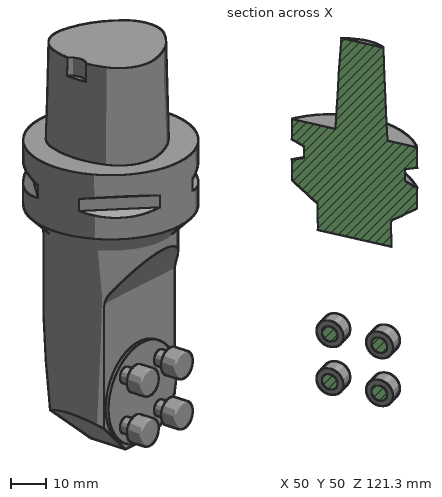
import cadquery as cq
import math


margin = 1.0

shank_length = 30.0
lobe_pitch = 360 / 3
shank_taper = 1 / 40
flat_distance = 16.45
lobe_reach = 18.6
flat_radius = 27.5

notch_width = 7.0
notch_height = 5.6
notch_radius = 4.5
notch_floor = 13.95

flange_radius = 50.0 / 2
flange_height = 20.0

groove_count = 4
groove_z = -flange_height / 2
groove_floor_distance = 22.15
groove_floor_width = 3.75
groove_side_angle = 27.0

body_radius = 38.5 / 2
body_bottom = -91.3
neck_fillet = 0.9

back_angle = 12.0
back_top = -28.8
heel_angle = 30.0
heel_bottom_x = -2.1

seat_x = 10.45
ramp_top = -28.8
ramp_angle = 35.0
ramp_fillet = 8.0

nose_half_width = 6.4
nose_angle = 45.0

plate_radius = 15.5
plate_thickness = 1.1
plate_z = -75.35
screw_shank_radius = 5.0 / 2
screw_head_radius = 8.5 / 2
screw_shank_length = 3.9
screw_head_length = 5.2
screw_head_rounding = 0.65
screw_neck_fillet = 0.25
screw_pattern_z = -75.1
screw_spacing = 15.6


def tan_degrees(angle):
    return math.tan(math.radians(angle))


def polar(radius, angle):
    return (radius * math.cos(math.radians(angle)), radius * math.sin(math.radians(angle)))


def make_shank():
    """Tapered shank whose outline is six tangent arcs: three broad sides and three lobes."""
    flat_centre = flat_radius - flat_distance
    reach_gap = flat_radius - lobe_reach
    lobe_centre = (reach_gap**2 - flat_centre**2) / (flat_centre - 2 * reach_gap)
    lobe_radius = lobe_reach - lobe_centre

    lobe_side = lobe_centre * math.sin(math.radians(lobe_pitch / 2))
    half_span = math.degrees(math.asin(lobe_side / (flat_radius - lobe_radius)))
    junction_x = flat_radius * math.cos(math.radians(half_span)) - flat_centre
    junction_y = flat_radius * math.sin(math.radians(half_span))
    junction_radius = math.hypot(junction_x, junction_y)
    junction_angle = math.degrees(math.atan2(junction_y, junction_x))

    first_side = -90
    outline = cq.Workplane("XY").moveTo(*polar(junction_radius, first_side - junction_angle))
    for side in (first_side, first_side + lobe_pitch, first_side + 2 * lobe_pitch):
        outline = outline.threePointArc(
            polar(flat_distance, side),
            polar(junction_radius, side + junction_angle),
        )
        outline = outline.threePointArc(
            polar(lobe_reach, side + lobe_pitch / 2),
            polar(junction_radius, side + lobe_pitch - junction_angle),
        )
    taper_angle = math.degrees(math.atan(shank_taper))
    return outline.close().extrude(shank_length, taper=taper_angle)


def make_notch():
    """Cutter for the round-backed notch, trimmed to the notch width."""
    floor_z = shank_length - notch_height
    cutter = (
        cq.Workplane("XY", origin=(0, 0, floor_z))
        .center(0, -notch_floor - notch_radius)
        .circle(notch_radius)
        .extrude(notch_height)
    )
    width_limit = (
        cq.Workplane("XY", origin=(0, 0, floor_z))
        .center(0, -notch_floor - notch_radius)
        .rect(notch_width, 2 * notch_radius)
        .extrude(notch_height)
    )
    return cutter.intersect(width_limit)


def make_flange_and_body():
    """Turned flange, 45 degree shoulder and body, with a fillet under the shoulder."""
    shoulder_bottom = -flange_height - (flange_radius - body_radius)
    turned = (
        cq.Workplane("XZ")
        .polyline([
            (0, 0),
            (flange_radius, 0),
            (flange_radius, -flange_height),
            (body_radius, shoulder_bottom),
            (body_radius, body_bottom),
            (0, body_bottom),
        ])
        .close()
        .revolve(360, (0, 0, 0), (0, 1, 0))
    )
    neck = cq.selectors.BoxSelector(
        (-body_radius - margin, -body_radius - margin, shoulder_bottom - margin),
        (body_radius + margin, body_radius + margin, shoulder_bottom + margin),
        boundingbox=True,
    )
    return turned.edges(neck).edges("%CIRCLE").fillet(neck_fillet)


def make_groove():
    """Cutter for one gripper groove on the +X side: a trapezoid run straight across."""
    outer = flange_radius + margin
    floor_half = groove_floor_width / 2
    mouth_half = floor_half + (outer - groove_floor_distance) * tan_degrees(groove_side_angle)
    return (
        cq.Workplane("XZ")
        .polyline([
            (groove_floor_distance, groove_z - floor_half),
            (outer, groove_z - mouth_half),
            (outer, groove_z + mouth_half),
            (groove_floor_distance, groove_z + floor_half),
        ])
        .close()
        .extrude(flange_radius, both=True)
    )


def make_side_profile():
    """Stock kept by the cuts on the -X and +X sides, as a prism along Y."""
    back_slope = tan_degrees(back_angle)
    heel_slope = tan_degrees(heel_angle)
    back_x_at_bottom = -body_radius + (back_top - body_bottom) * back_slope
    heel_rise = (heel_bottom_x - back_x_at_bottom) / (heel_slope - back_slope)
    heel_top_x = heel_bottom_x - heel_rise * heel_slope
    ramp_bottom = ramp_top - (body_radius - seat_x) / tan_degrees(ramp_angle)

    prism = (
        cq.Workplane("XZ")
        .polyline([
            (-flange_radius, 0),
            (flange_radius, 0),
            (flange_radius, -flange_height),
            (body_radius, ramp_top),
            (seat_x, ramp_bottom),
            (seat_x, body_bottom),
            (heel_bottom_x, body_bottom),
            (heel_top_x, body_bottom + heel_rise),
            (-body_radius, back_top),
            (-flange_radius, -flange_height),
        ])
        .close()
        .extrude(flange_radius, both=True)
    )
    ramp_corner = cq.selectors.NearestToPointSelector((seat_x, 0, ramp_bottom))
    return prism.edges("|Y").edges(ramp_corner).fillet(ramp_fillet)


def make_nose_profile():
    """Stock kept by the two nose bevels, as a prism along X."""
    bevel_top = body_bottom + (flange_radius - nose_half_width) / tan_degrees(nose_angle)
    return (
        cq.Workplane("YZ")
        .polyline([
            (-flange_radius, 0),
            (-flange_radius, bevel_top),
            (-nose_half_width, body_bottom),
            (nose_half_width, body_bottom),
            (flange_radius, bevel_top),
            (flange_radius, 0),
        ])
        .close()
        .extrude(flange_radius, both=True)
    )


def make_plate():
    return cq.Workplane("YZ", origin=(seat_x, 0, plate_z)).circle(plate_radius).extrude(plate_thickness)


def make_screw(y, z):
    """Cap screw standing out of the plate along +X."""
    plate_face = seat_x + plate_thickness
    shank = (
        cq.Workplane("YZ", origin=(plate_face, y, z))
        .circle(screw_shank_radius)
        .extrude(screw_shank_length)
    )
    head = (
        cq.Workplane("YZ", origin=(plate_face + screw_shank_length, y, z))
        .circle(screw_head_radius)
        .extrude(screw_head_length)
        .faces(">X")
        .edges()
        .fillet(screw_head_rounding)
    )
    under_head = cq.selectors.NearestToPointSelector((plate_face + screw_shank_length, y, z))
    return shank.union(head).edges("%CIRCLE").edges(under_head).fillet(screw_neck_fillet)


holder = make_flange_and_body()
holder = holder.intersect(make_side_profile())
holder = holder.intersect(make_nose_profile())
for index in range(groove_count):
    groove_direction = (index + 0.5) * 360 / groove_count
    holder = holder.cut(make_groove().rotate((0, 0, 0), (0, 0, 1), groove_direction))

holder = holder.union(make_shank().cut(make_notch()))
holder = holder.union(make_plate())
for y_side in (-1, 1):
    for z_side in (-1, 1):
        screw_y = y_side * screw_spacing / 2
        screw_z = screw_pattern_z + z_side * screw_spacing / 2
        holder = holder.union(make_screw(screw_y, screw_z))

result = holder